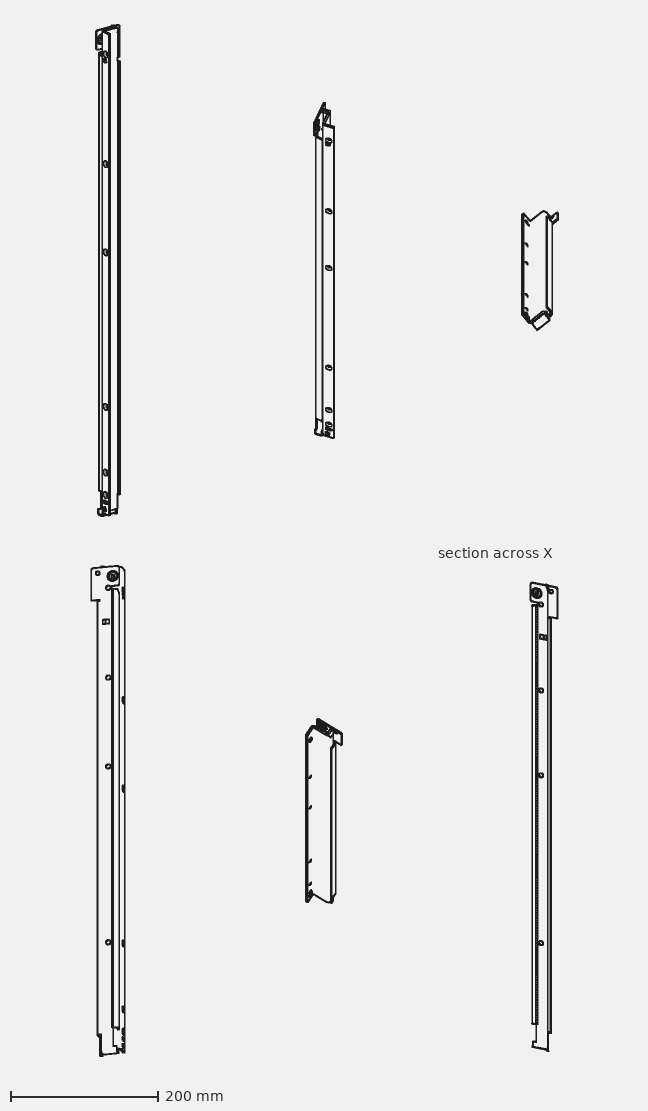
import cadquery as cq

LENGTH = 706.5
DEPTH = 39.5
WIDTH = 29.0

CABINET_SHEET = 1.8
CABINET_TOP = 704.0
LOWER_LIP_REACH = 11.0
UPPER_LIP_REACH = 13.5
LOWER_LIP_Y = 3.05
UPPER_LIP_Y = 31.45
JOGGLE = 1.05
JOGGLE_END_Y = 8.5
JOGGLE_START_Y = 10.5
LOWER_LIP_BEND = 2.5
UPPER_LIP_BEND = 3.5
UPPER_LIP_Z = (28.0, 656.0)
LOWER_LIP_Z = (37.0, 671.0)
LIP_LEAD_IN = 3.5
BRACKET_BOTTOM = 657.0
BRACKET_FOOT = 675.5
BRACKET_CORNER = 3.0
END_TAB_Z = 1.5
END_TAB_Y = (3.5, 25.5)
END_TAB_WIDTH = 11.0
END_TAB_TOP = 9.0
END_TAB_BEND = 3.0

TAB_HOLE = (30.5, 696.0)
TAB_HOLE_DIAMETER = 6.0
WALL_HOLE_Y = 15.5
WALL_HOLE_HEIGHTS = (160.5, 415.0, 543.5, 673.5)
WALL_HOLE_DIAMETER = 6.5
WINDOW_Z = 625.0
WINDOW_HEIGHT = 6.5
WINDOW_SPANS = ((14.0, 19.0), (20.0, 23.0))

RIVET_PLACE = (9.0, 690.0)
RIVET_DIAMETER = 15.0
RIVET_RECESS_DIAMETER = 10.5
RIVET_RECESS_DEPTH = 1.0
RIVET_BORE_DIAMETER = 4.0

DRAWER_SHEET = 3.0
WEB_X = 12.0
FLANGE_BEND = 3.5
HOOK_BEND = 6.0
HOOK_X = 3.5
HOOK_TOP_Y = 29.0
HOOK_EDGE_ROUND = 2.0
HOOK_TONGUE_X = 10.0
FLANGE_BOTTOM = 9.0
HOOK_CATCH_HEIGHT = 8.5
HOOK_CATCH_DROP = 3.0

SCREW_X = 22.0
SCREW_HEIGHTS = (37.0, 69.0, 164.5, 388.5, 516.5, 675.5)
SCREW_DIAMETER = 4.0
SCREW_HEAD_DIAMETER = 9.0
FLANGE_SLOT_Z = 26.0
FLANGE_SLOT_SIZE = (9.0, 4.0)
LOCATING_HOLES = ((20.0, 15.5), (20.5, 666.0))
LOCATING_HOLE_DIAMETER = 6.5


def box(x_range, y_range, z_range):
    """Box between two limits on each axis."""
    size = [high - low for low, high in (x_range, y_range, z_range)]
    low_corner = (x_range[0], y_range[0], z_range[0])
    return cq.Workplane().box(*size, centered=False).translate(low_corner)


def profile(points, z_range):
    """Closed X-Y outline extruded along Z between two heights."""
    bottom, top = z_range
    return cq.Workplane().workplane(offset=bottom).polyline(points).close().extrude(top - bottom)


def wall_plane():
    """Y-Z plane on the outer face of the cabinet wall, drilling toward +X."""
    return cq.Workplane("YZ")


def round_edge(body, axis, place, radius):
    """Fillet the edge along the given axis that lies nearest to a place."""
    nearest = cq.selectors.NearestToPointSelector(place)
    return body.edges("|" + axis).edges(nearest).fillet(radius)


def cabinet_wall():
    """Flat wall with the mounting tab and the rivet corner at its top."""
    wall_top_y = UPPER_LIP_Y - UPPER_LIP_BEND
    outline = [
        (JOGGLE_END_Y, END_TAB_TOP),
        (JOGGLE_END_Y, LOWER_LIP_Z[0]),
        (JOGGLE_START_Y, LOWER_LIP_Z[0]),
        (JOGGLE_START_Y, BRACKET_FOOT),
        (0, BRACKET_FOOT),
        (0, CABINET_TOP),
        (DEPTH, CABINET_TOP),
        (DEPTH, BRACKET_BOTTOM),
        (wall_top_y, BRACKET_BOTTOM),
        (wall_top_y, UPPER_LIP_Z[0]),
        (END_TAB_Y[1], UPPER_LIP_Z[0]),
        (END_TAB_Y[1], END_TAB_TOP),
    ]
    wall = wall_plane().polyline(outline).close().extrude(CABINET_SHEET)
    for y, z in ((0, BRACKET_FOOT), (0, CABINET_TOP), (DEPTH, CABINET_TOP)):
        wall = round_edge(wall, "X", (0, y, z), BRACKET_CORNER)
    return wall


def joggle():
    """Slanted inward step along the lower edge of the wall."""
    points = [
        (0, JOGGLE_START_Y),
        (JOGGLE, JOGGLE_END_Y),
        (JOGGLE + CABINET_SHEET, JOGGLE_END_Y),
        (CABINET_SHEET, JOGGLE_START_Y),
    ]
    return profile(points, LOWER_LIP_Z)


def lip(points, z_range, bend):
    """Lip of the channel, bent at the second outline point and its inner partner."""
    middle = sum(z_range) / 2
    body = profile(points, z_range)
    body = round_edge(body, "Z", (*points[1], middle), bend)
    return round_edge(body, "Z", (*points[4], middle), bend - CABINET_SHEET)


def lower_lip():
    inner_x = JOGGLE + CABINET_SHEET
    inner_y = LOWER_LIP_Y + CABINET_SHEET
    points = [
        (JOGGLE, JOGGLE_END_Y),
        (JOGGLE, LOWER_LIP_Y),
        (LOWER_LIP_REACH, LOWER_LIP_Y),
        (LOWER_LIP_REACH, inner_y),
        (inner_x, inner_y),
        (inner_x, JOGGLE_END_Y),
    ]
    top = LOWER_LIP_Z[1]
    lead_in = (
        cq.Workplane("XZ")
        .polyline([(JOGGLE, top), (LOWER_LIP_REACH, top), (LOWER_LIP_REACH, top - LIP_LEAD_IN)])
        .close()
        .extrude(-JOGGLE_END_Y)
    )
    return lip(points, LOWER_LIP_Z, LOWER_LIP_BEND).cut(lead_in)


def upper_lip():
    inner_y = UPPER_LIP_Y - CABINET_SHEET
    foot_y = UPPER_LIP_Y - UPPER_LIP_BEND
    points = [
        (0, foot_y - CABINET_SHEET),
        (0, UPPER_LIP_Y),
        (UPPER_LIP_REACH, UPPER_LIP_Y),
        (UPPER_LIP_REACH, inner_y),
        (CABINET_SHEET, inner_y),
        (CABINET_SHEET, foot_y - CABINET_SHEET),
    ]
    return lip(points, UPPER_LIP_Z, UPPER_LIP_BEND)


def end_tab():
    """Bottom end of the wall, bent inward with its edge turned up."""
    tab = box((0, END_TAB_WIDTH), END_TAB_Y, (END_TAB_Z, END_TAB_TOP))
    hollow_x = (CABINET_SHEET, END_TAB_WIDTH - CABINET_SHEET)
    tab = tab.cut(box(hollow_x, END_TAB_Y, (END_TAB_Z + CABINET_SHEET, END_TAB_TOP)))
    middle = sum(END_TAB_Y) / 2
    for x in (0, END_TAB_WIDTH):
        tab = round_edge(tab, "Y", (x, middle, END_TAB_Z), END_TAB_BEND)
    inner_bend = END_TAB_BEND - CABINET_SHEET
    for x in hollow_x:
        tab = round_edge(tab, "Y", (x, middle, END_TAB_Z + CABINET_SHEET), inner_bend)
    return tab


def make_cabinet_rail():
    rail = cabinet_wall().union(end_tab()).union(joggle()).union(lower_lip()).union(upper_lip())
    wall_holes = [(WALL_HOLE_Y, z) for z in WALL_HOLE_HEIGHTS]
    holes = wall_plane().pushPoints(wall_holes).circle(WALL_HOLE_DIAMETER / 2).extrude(CABINET_SHEET)
    tab_hole = wall_plane().center(*TAB_HOLE).circle(TAB_HOLE_DIAMETER / 2).extrude(CABINET_SHEET)
    rivet_hole = wall_plane().center(*RIVET_PLACE).circle(RIVET_DIAMETER / 2).extrude(CABINET_SHEET)
    window_z = (WINDOW_Z - WINDOW_HEIGHT / 2, WINDOW_Z + WINDOW_HEIGHT / 2)
    for span in WINDOW_SPANS:
        rail = rail.cut(box((0, CABINET_SHEET), span, window_z))
    return rail.cut(holes).cut(tab_hole).cut(rivet_hole)


def make_rivet():
    """Disc flush with the wall, with a stepped bore."""
    return (
        wall_plane()
        .center(*RIVET_PLACE)
        .circle(RIVET_DIAMETER / 2)
        .extrude(CABINET_SHEET)
        .faces("<X")
        .workplane()
        .cboreHole(RIVET_BORE_DIAMETER, RIVET_RECESS_DIAMETER, RIVET_RECESS_DEPTH)
    )


def drawer_profile():
    """Flange, web and hook as one bent sheet."""
    web_right = WEB_X + DRAWER_SHEET
    hook_bottom = HOOK_TOP_Y - DRAWER_SHEET
    points = [
        (WEB_X, 0),
        (WIDTH, 0),
        (WIDTH, DRAWER_SHEET),
        (web_right, DRAWER_SHEET),
        (web_right, HOOK_TOP_Y),
        (HOOK_X, HOOK_TOP_Y),
        (HOOK_X, hook_bottom),
        (WEB_X, hook_bottom),
    ]
    body = profile(points, (0, LENGTH))
    middle = LENGTH / 2
    bends = [
        ((WEB_X, 0), FLANGE_BEND),
        ((web_right, DRAWER_SHEET), FLANGE_BEND - DRAWER_SHEET),
        ((web_right, HOOK_TOP_Y), HOOK_BEND),
        ((WEB_X, hook_bottom), HOOK_BEND - DRAWER_SHEET),
        ((HOOK_X, HOOK_TOP_Y), HOOK_EDGE_ROUND),
    ]
    for corner, radius in bends:
        body = round_edge(body, "Z", (*corner, middle), radius)
    return body


def bend_hook_end(body):
    """Turn the upper end of the hook down to form a catch."""
    start = LENGTH - HOOK_CATCH_HEIGHT
    end_y = HOOK_TOP_Y - HOOK_CATCH_DROP
    above = wall_plane().polyline([(HOOK_TOP_Y, start), (HOOK_TOP_Y, LENGTH), (end_y, LENGTH)])
    body = body.cut(above.close().extrude(WIDTH))
    catch = (
        cq.Workplane("YZ", origin=(HOOK_X, 0, 0))
        .polyline([
            (HOOK_TOP_Y, start),
            (end_y, LENGTH),
            (end_y - DRAWER_SHEET, LENGTH),
            (HOOK_TOP_Y - DRAWER_SHEET, start),
        ])
        .close()
        .extrude(WEB_X - HOOK_X)
    )
    return body.union(catch)


def cut_flange_holes(body):
    """Countersunk screw holes, the cross slot and the locating holes."""
    under_flange = cq.Workplane("XZ")
    sink_depth = (SCREW_HEAD_DIAMETER - SCREW_DIAMETER) / 2
    for z in SCREW_HEIGHTS:
        screw_axis = under_flange.center(SCREW_X, z)
        body = body.cut(screw_axis.circle(SCREW_DIAMETER / 2).extrude(-DRAWER_SHEET))
        sink = cq.Solid.makeCone(
            SCREW_HEAD_DIAMETER / 2,
            SCREW_DIAMETER / 2,
            sink_depth,
            cq.Vector(SCREW_X, 0, z),
            cq.Vector(0, 1, 0),
        )
        body = body.cut(cq.Workplane(sink))
    slot = under_flange.center(SCREW_X, FLANGE_SLOT_Z).slot2D(*FLANGE_SLOT_SIZE).extrude(-DRAWER_SHEET)
    holes = under_flange.pushPoints(LOCATING_HOLES).circle(LOCATING_HOLE_DIAMETER / 2)
    return body.cut(slot).cut(holes.extrude(-DRAWER_SHEET))


def make_drawer_rail():
    body = bend_hook_end(drawer_profile())
    body = body.cut(box((HOOK_TONGUE_X, WIDTH), (0, HOOK_TOP_Y), (0, FLANGE_BOTTOM)))
    return cut_flange_holes(body)


cabinet_rail = make_cabinet_rail()
drawer_rail = make_drawer_rail()
rivet = make_rivet()

result = cq.Compound.makeCompound([body.solids().val() for body in (cabinet_rail, drawer_rail, rivet)])